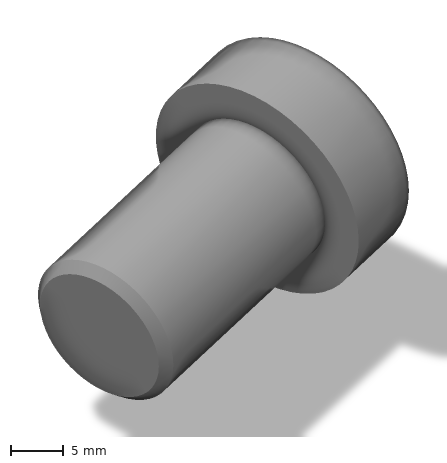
import cadquery as cq

total_length = 34.0
head_diameter = 24.0
head_length = 9.0
head_edge_radius = 1.6
shank_diameter = 16.0
tip_chamfer = 1.0

shank_length = total_length - head_length


def make_head():
    """Disc from the seat at Y = 0 to the outer face, with a rounded outer rim."""
    disc = cq.Workplane("XZ").circle(head_diameter / 2).extrude(-head_length)
    return disc.faces(">Y").edges().fillet(head_edge_radius)


def make_shank():
    """Cylinder from the seat toward -Y, with a chamfered tip."""
    cylinder = cq.Workplane("XZ").circle(shank_diameter / 2).extrude(shank_length)
    return cylinder.faces("<Y").edges().chamfer(tip_chamfer)


result = make_head().union(make_shank())